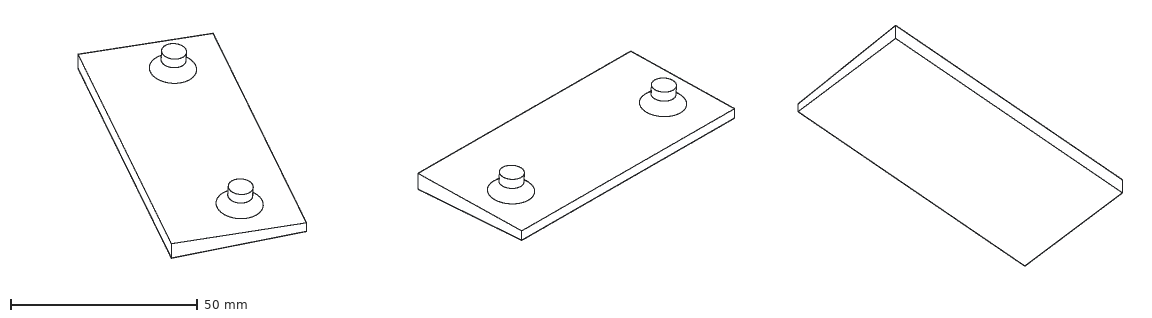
import cadquery as cq
import math

length = 84.0
width = 38.0
thick_edge = 5.0
thin_edge = 3.0

stud_spacing = 60.0
stud_from_thin_edge = 15.0
stud_diameter = 6.7
stud_height = 2.9
cone_diameter = 12.7
cone_height = (cone_diameter - stud_diameter) / 2

slope = (thick_edge - thin_edge) / width
slope_angle = math.atan(slope)
stud_y = width / 2 - stud_from_thin_edge
stud_base_z = thin_edge + slope * stud_from_thin_edge


def wedge_plate():
    """Plate with a flat bottom at Z = 0 and a top that falls towards +Y."""
    return (
        cq.Workplane("YZ")
        .polyline([
            (-width / 2, 0),
            (width / 2, 0),
            (width / 2, thin_edge),
            (-width / 2, thick_edge),
        ])
        .close()
        .extrude(length / 2, both=True)
    )


def stud(x):
    """Cone-footed stud whose axis is normal to the sloping top face."""
    normal = (0, math.sin(slope_angle), math.cos(slope_angle))
    seat = cq.Plane(origin=(x, stud_y, stud_base_z), xDir=(1, 0, 0), normal=normal)
    return (
        cq.Workplane(seat)
        .circle(cone_diameter / 2)
        .workplane(offset=cone_height)
        .circle(stud_diameter / 2)
        .loft()
        .faces(">Z")
        .workplane()
        .circle(stud_diameter / 2)
        .extrude(stud_height)
    )


result = wedge_plate()
for side in (-1, 1):
    result = result.union(stud(side * stud_spacing / 2))